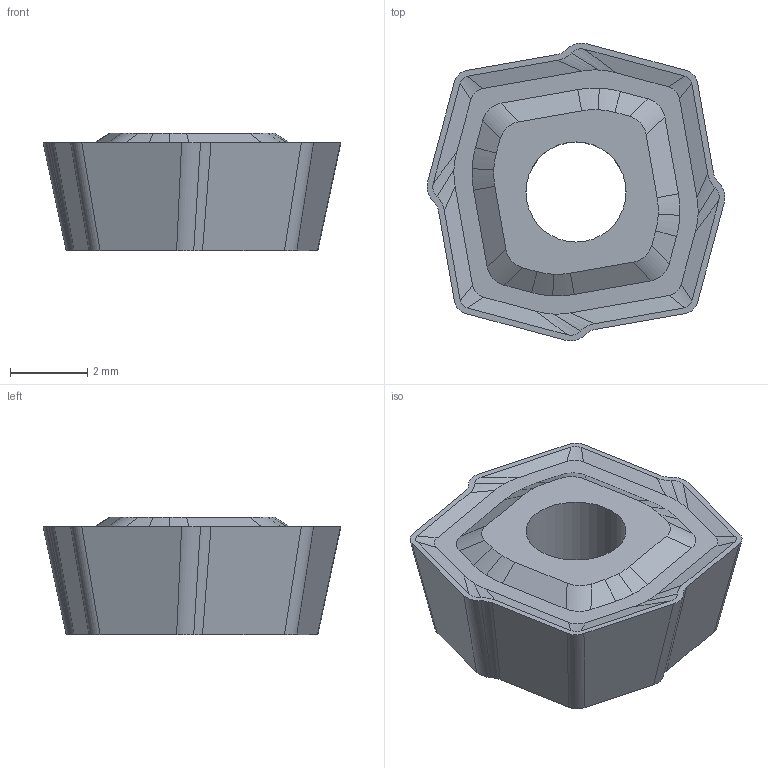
import cadquery as cq
import math

RIM_HEIGHT = 2.81
GROOVE_DEPTH = 0.10
BOSS_RISE = 0.25
FLOOR_HEIGHT = RIM_HEIGHT - GROOVE_DEPTH
TOP_HEIGHT = RIM_HEIGHT + BOSS_RISE

QUARTERS = 4
QUARTER_TURN = 360 / QUARTERS
LONG_NORMAL = 75
SHORT_NORMAL = 100
NEXT_SHORT_NORMAL = SHORT_NORMAL - QUARTER_TURN

RIM_LONG = 3.79
RIM_SHORT = 3.60
RIM_CORNER_RADIUS = 0.40
STEP_RADIUS = 0.50
NOSE_OFFSET = 0.14
LAND_WIDTH = 0.15

RELIEF_ANGLE = 11
RELIEF_INSET = RIM_HEIGHT * math.tan(math.radians(RELIEF_ANGLE))
NOSE_DRIFT = 0.13

FLOOR_LONG = 3.26
FLOOR_SHORT = 3.065
FLOOR_CORNER_RADIUS = 0.40

BOSS_LONG = 2.82
BOSS_SHORT = 2.61
BOSS_CORNER_RADIUS = 0.60
BOSS_SLOPE_WIDTH = 0.56

BEND_RADIUS = 2.0
BOSS_FOOT_BEND_RADIUS = BEND_RADIUS + BOSS_SLOPE_WIDTH

HOLE_DIAMETER = 2.6

JOIN_TOLERANCE = 1e-6


def polar(angle, distance):
    direction = math.radians(angle)
    return cq.Vector(distance * math.cos(direction), distance * math.sin(direction))


def line_crossing(normal_1, distance_1, normal_2, distance_2):
    """Point where two lines cross, each given by normal direction and distance."""
    turn = math.radians(normal_2 - normal_1)
    along = (distance_2 - distance_1 * math.cos(turn)) / math.sin(turn)
    return polar(normal_1, distance_1) + polar(normal_1 + 90, along)


def arc(center, radius, start_angle, end_angle):
    angles = (start_angle, (start_angle + end_angle) / 2, end_angle)
    start, middle, end = [center + polar(angle, radius) for angle in angles]
    return cq.Edge.makeThreePointArc(start, middle, end)


def closed_outline(quarter_arcs, height):
    """Repeat the arcs of one quarter clockwise about Z and join them with lines."""
    axis_start, axis_end = cq.Vector(0, 0, 0), cq.Vector(0, 0, 1)
    arcs = [
        piece.rotate(axis_start, axis_end, -quarter * QUARTER_TURN)
        for quarter in range(QUARTERS)
        for piece in quarter_arcs
    ]
    edges = []
    for piece, following in zip(arcs, arcs[1:] + arcs[:1]):
        edges.append(piece)
        gap = following.startPoint() - piece.endPoint()
        if gap.Length > JOIN_TOLERANCE:
            edges.append(cq.Edge.makeLine(piece.endPoint(), following.startPoint()))
    return cq.Wire.assembleEdges(edges).translate(cq.Vector(0, 0, height))


def corner_arc(long_side, short_side, radius):
    center = line_crossing(LONG_NORMAL, long_side - radius, NEXT_SHORT_NORMAL, short_side - radius)
    return arc(center, radius, LONG_NORMAL, NEXT_SHORT_NORMAL)


def stepped_outline(height, inset, nose_x, nose_radius, notch_radius, corner_radius):
    """Rim outline: a notch arc and a nose arc, tangent to each other, join the sides."""
    long_side = RIM_LONG - inset
    short_side = RIM_SHORT - inset
    nose_center = line_crossing(LONG_NORMAL, long_side - nose_radius, 0, nose_x)
    nose_depth = nose_center.dot(polar(SHORT_NORMAL, 1))
    rise = short_side + notch_radius - nose_depth
    notch_angle = SHORT_NORMAL + math.degrees(math.acos(rise / (nose_radius + notch_radius)))
    notch_center = nose_center + polar(notch_angle, nose_radius + notch_radius)
    quarter = [
        arc(notch_center, notch_radius, SHORT_NORMAL + 180, notch_angle + 180),
        arc(nose_center, nose_radius, notch_angle, LONG_NORMAL),
        corner_arc(long_side, short_side, corner_radius),
    ]
    return closed_outline(quarter, height)


def smooth_outline(height, long_side, short_side, corner_radius, bend_radius):
    """Inner outline: a wide bend, in two halves, joins the short and long sides."""
    bend_center = line_crossing(
        LONG_NORMAL, long_side - bend_radius, SHORT_NORMAL, short_side - bend_radius
    )
    middle_angle = (SHORT_NORMAL + LONG_NORMAL) / 2
    quarter = [
        arc(bend_center, bend_radius, SHORT_NORMAL, middle_angle),
        arc(bend_center, bend_radius, middle_angle, LONG_NORMAL),
        corner_arc(long_side, short_side, corner_radius),
    ]
    return closed_outline(quarter, height)


def ruled_solid(lower, upper):
    return cq.Workplane(obj=cq.Solid.makeLoft([lower, upper], True))


def flank_body():
    base = stepped_outline(
        0, RELIEF_INSET, NOSE_OFFSET + NOSE_DRIFT, STEP_RADIUS, STEP_RADIUS, RIM_CORNER_RADIUS
    )
    rim = stepped_outline(RIM_HEIGHT, 0, NOSE_OFFSET, STEP_RADIUS, STEP_RADIUS, RIM_CORNER_RADIUS)
    return ruled_solid(base, rim)


def chip_groove():
    floor = smooth_outline(FLOOR_HEIGHT, FLOOR_LONG, FLOOR_SHORT, FLOOR_CORNER_RADIUS, BEND_RADIUS)
    land_edge = stepped_outline(
        RIM_HEIGHT,
        LAND_WIDTH,
        NOSE_OFFSET,
        STEP_RADIUS - LAND_WIDTH,
        STEP_RADIUS + LAND_WIDTH,
        RIM_CORNER_RADIUS - LAND_WIDTH,
    )
    return ruled_solid(floor, land_edge)


def boss():
    foot = smooth_outline(
        FLOOR_HEIGHT, BOSS_LONG, BOSS_SHORT, BOSS_CORNER_RADIUS, BOSS_FOOT_BEND_RADIUS
    )
    top = smooth_outline(
        TOP_HEIGHT,
        BOSS_LONG - BOSS_SLOPE_WIDTH,
        BOSS_SHORT - BOSS_SLOPE_WIDTH,
        BOSS_CORNER_RADIUS,
        BEND_RADIUS,
    )
    return ruled_solid(foot, top)


def center_hole():
    return cq.Workplane().circle(HOLE_DIAMETER / 2).extrude(TOP_HEIGHT)


result = flank_body().cut(chip_groove()).union(boss()).cut(center_hole())